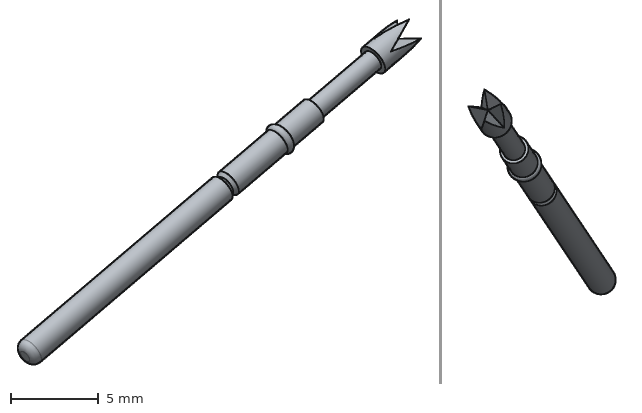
import cadquery as cq
import math

length = 32.0

head_diameter = 1.9
head_radius = head_diameter / 2
head_length = 3.0
crown_center_depth = 0.9
crown_notch_depth = 2.25
tooth_count = 4

plunger_radius = 0.65
plunger_length = 5.0

barrel_radius = 0.83
tail_fillet = 0.48

ring_radius = 1.0
ring_width = 0.5
ring_from_tip = 10.75

groove_radius = 0.65
groove_width = 0.5
groove_from_tip = 15.33

head_base = length - head_length
barrel_end = head_base - plunger_length
ring_center = length - ring_from_tip
groove_center = length - groove_from_tip


def make_body():
    """Revolve the half profile of the whole probe about the Y axis."""
    fillet_center_radius = barrel_radius - tail_fillet
    fillet_reach = tail_fillet * math.sqrt(0.5)
    fillet_mid = (fillet_center_radius + fillet_reach, tail_fillet - fillet_reach)
    return (
        cq.Workplane("XY")
        .moveTo(0, 0)
        .lineTo(fillet_center_radius, 0)
        .threePointArc(fillet_mid, (barrel_radius, tail_fillet))
        .lineTo(barrel_radius, groove_center - groove_width / 2)
        .lineTo(groove_radius, groove_center)
        .lineTo(barrel_radius, groove_center + groove_width / 2)
        .lineTo(barrel_radius, ring_center - ring_width / 2)
        .threePointArc((ring_radius, ring_center), (barrel_radius, ring_center + ring_width / 2))
        .lineTo(barrel_radius, barrel_end)
        .lineTo(plunger_radius, barrel_end)
        .lineTo(plunger_radius, head_base)
        .lineTo(head_radius, head_base)
        .lineTo(head_radius, length)
        .lineTo(0, length)
        .close()
        .revolve(360, (0, 0, 0), (0, 1, 0))
    )


def make_notch():
    """V-shaped cutter in the +Z direction whose bottom line falls from the crown centre to the rim."""
    notch_fall = crown_notch_depth - crown_center_depth
    fall_angle = math.atan2(notch_fall, head_radius)

    half_pitch = math.pi / tooth_count
    tip_along = head_radius * math.cos(half_pitch)
    tip_across = head_radius * math.sin(half_pitch)
    tip_height = crown_center_depth + tip_along * math.tan(fall_angle)
    flank_slope = tip_height * math.cos(fall_angle) / tip_across

    section = cq.Plane(
        origin=(0, length - crown_center_depth, 0),
        xDir=(1, 0, 0),
        normal=(0, -math.sin(fall_angle), math.cos(fall_angle)),
    )
    half_width = 2 * head_radius
    height = half_width * flank_slope
    reach = 2 * crown_notch_depth
    return (
        cq.Workplane(section)
        .polyline([(0, 0), (half_width, height), (-half_width, height)])
        .close()
        .extrude(reach, both=True)
    )


def cut_crown(body):
    """Cut the notches between the teeth, leaving tips on the X and Z axes."""
    pitch = 360 / tooth_count
    notch = make_notch()
    for index in range(tooth_count):
        angle = (index + 0.5) * pitch
        body = body.cut(notch.rotate((0, 0, 0), (0, 1, 0), angle))
    return body


result = cut_crown(make_body())